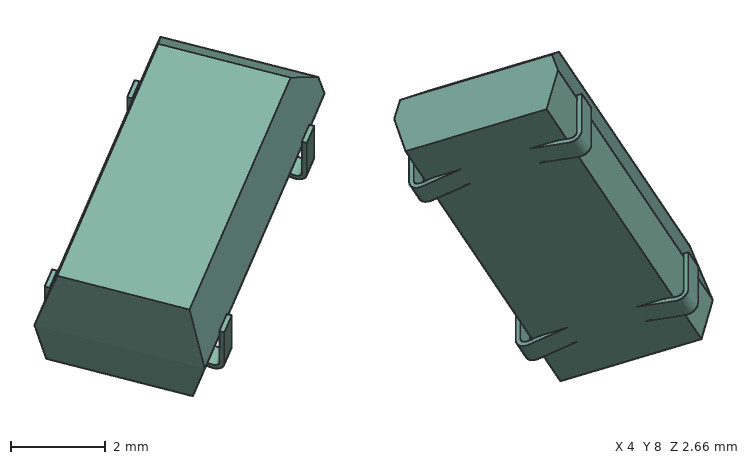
import cadquery as cq
import math

length = 8.0
lead_span = 4.0
height = 2.66

body_width = 3.79
top_width = 2.94
bottom_width = 3.26
body_bottom = 0.16
parting_height = 1.17
chamfer_size = 1.0
front_setback = 0.26

lead_width = 0.5
lead_pitch = 5.5
lead_top = 1.27
lead_thickness = 0.11
bend_radius = 0.25
foot_flat_end = 1.71
foot_rise_angle = 10.0


def lengthwise_prism(lower_width, lower_z, upper_width, upper_z):
    """Trapezoid cross-section extruded along the full body length."""
    return (
        cq.Workplane("XZ")
        .polyline([
            (-lower_width / 2, lower_z),
            (lower_width / 2, lower_z),
            (upper_width / 2, upper_z),
            (-upper_width / 2, upper_z),
        ])
        .close()
        .extrude(length / 2, both=True)
    )


def upper_body():
    """Upper half, narrowing upward, with a sloped -Y end and a chamfered +Y end."""
    side_profile = (
        cq.Workplane("YZ")
        .polyline([
            (-length / 2, parting_height),
            (length / 2, parting_height),
            (length / 2, height - chamfer_size),
            (length / 2 - chamfer_size, height),
            (-length / 2 + front_setback, height),
        ])
        .close()
        .extrude(body_width / 2, both=True)
    )
    tapered = lengthwise_prism(body_width, parting_height, top_width, height)
    return tapered.intersect(side_profile)


def lower_body():
    """Lower half, narrowing downward between upright ends."""
    return lengthwise_prism(bottom_width, body_bottom, body_width, parting_height)


def lead(y_center):
    """Strip on the +X side, bent under the body; its foot rises into the body bottom."""
    outer_x = lead_span / 2
    inner_x = outer_x - lead_thickness
    bend_x = outer_x - bend_radius
    inner_radius = bend_radius - lead_thickness
    foot_tip = foot_flat_end - body_bottom / math.tan(math.radians(foot_rise_angle))
    diagonal = math.cos(math.radians(45))
    profile = (
        cq.Workplane("XZ", origin=(0, y_center, 0))
        .moveTo(outer_x, lead_top)
        .lineTo(outer_x, bend_radius)
        .threePointArc(
            (bend_x + bend_radius * diagonal, bend_radius * (1 - diagonal)),
            (bend_x, 0),
        )
        .lineTo(foot_flat_end, 0)
        .lineTo(foot_tip, body_bottom)
        .lineTo(foot_tip, body_bottom + lead_thickness)
        .lineTo(foot_flat_end, lead_thickness)
        .lineTo(bend_x, lead_thickness)
        .threePointArc(
            (bend_x + inner_radius * diagonal, bend_radius - inner_radius * diagonal),
            (inner_x, bend_radius),
        )
        .lineTo(inner_x, lead_top)
        .close()
    )
    return profile.extrude(lead_width / 2, both=True)


result = upper_body().union(lower_body())
for y_center in (-lead_pitch / 2, lead_pitch / 2):
    right_lead = lead(y_center)
    result = result.union(right_lead).union(right_lead.mirror("YZ"))